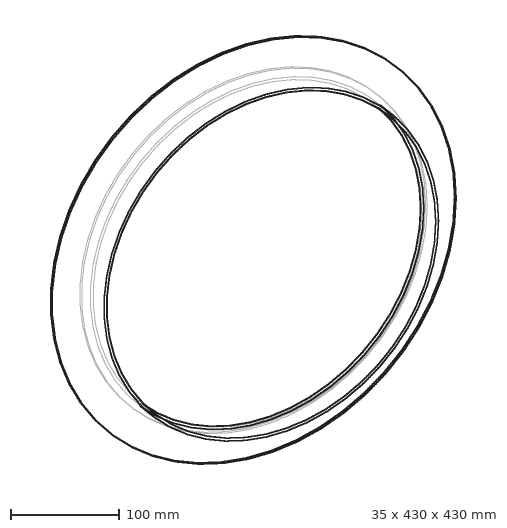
import cadquery as cq

flange_diameter = 430.0
collar_outer_diameter = 356.0
collar_inner_diameter = 350.0
overall_length = 35.0
outer_bend_radius = 6.0

flange_radius = flange_diameter / 2
collar_outer_radius = collar_outer_diameter / 2
collar_inner_radius = collar_inner_diameter / 2
sheet_thickness = collar_outer_radius - collar_inner_radius
bore_bend_radius = outer_bend_radius + sheet_thickness
bend_end_x = bore_bend_radius
bend_end_radius = collar_inner_radius + bore_bend_radius


def flanged_collar():
    """Revolve the bent sheet section about the X axis, flange face at X = 0."""
    section = (
        cq.Workplane("XY")
        .moveTo(0, flange_radius)
        .lineTo(0, bend_end_radius)
        .radiusArc((bend_end_x, collar_inner_radius), -bore_bend_radius)
        .lineTo(overall_length, collar_inner_radius)
        .lineTo(overall_length, collar_outer_radius)
        .lineTo(bend_end_x, collar_outer_radius)
        .radiusArc((sheet_thickness, bend_end_radius), outer_bend_radius)
        .lineTo(sheet_thickness, flange_radius)
        .close()
    )
    return section.revolve(360, (0, 0, 0), (1, 0, 0))


result = flanged_collar()